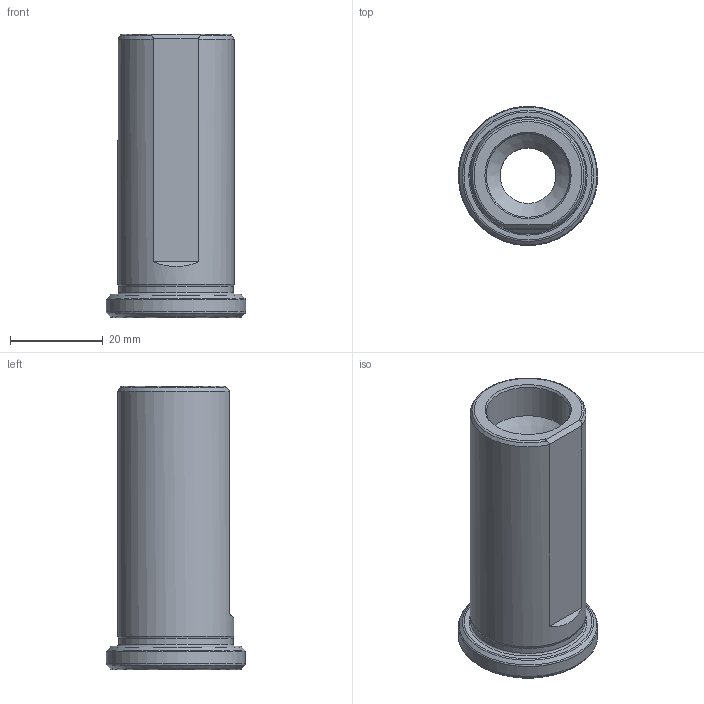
import cadquery as cq
import math

total_height = 61.0
flange_radius = 30.0 / 2
flange_height = 5.0
flange_chamfer = 1.0
body_radius = 25.0 / 2
edge_blend = 0.5

lead_in_height = 1.0
lead_in_angle = math.radians(30)

relief_radius = 24.7 / 2
relief_height = 2.2
relief_fillet = 0.4
relief_taper_height = 0.5

bore_radius = 18.0 / 2
bore_depth = 8.0
bore_chamfer_width = 0.3
bore_chamfer_height = 0.5
hole_radius = 12.0 / 2
cone_height = bore_radius - hole_radius

flat_distance = 11.5
flat_bottom = 12.0
flat_depth = body_radius - flat_distance
flat_top_chamfer = 0.9


def make_flange():
    """Disc with chamfered rims and every chamfer edge blended."""
    disc = cq.Workplane("XY").circle(flange_radius).extrude(flange_height)
    return disc.edges("%CIRCLE").chamfer(flange_chamfer).edges("%CIRCLE").fillet(edge_blend)


def make_body():
    """Cylinder with a filleted relief groove at its foot and a lead-in cone at its top."""
    relief_top = flange_height + relief_height
    lead_in_radius = body_radius - lead_in_height * math.tan(lead_in_angle)
    profile = (
        cq.Workplane("XZ")
        .moveTo(0, flange_height)
        .lineTo(relief_radius + relief_fillet, flange_height)
        .radiusArc((relief_radius, flange_height + relief_fillet), relief_fillet)
        .lineTo(relief_radius, relief_top - relief_taper_height)
        .lineTo(body_radius, relief_top)
        .lineTo(body_radius, total_height - lead_in_height)
        .lineTo(lead_in_radius, total_height)
        .lineTo(0, total_height)
        .close()
    )
    body = profile.revolve(360, (0, 0, 0), (0, 1, 0))
    return body.faces(">Z").edges().fillet(edge_blend)


def make_bore():
    """Through hole widening by a cone into a chamfered counterbore open at the top."""
    bore_bottom = total_height - bore_depth
    outline = [
        (0, 0),
        (hole_radius, 0),
        (hole_radius, bore_bottom - cone_height),
        (bore_radius, bore_bottom),
        (bore_radius, total_height - bore_chamfer_height),
        (bore_radius + bore_chamfer_width, total_height),
        (0, total_height),
    ]
    return cq.Workplane("XZ").polyline(outline).close().revolve(360, (0, 0, 0), (0, 1, 0))


def make_flat_cutter():
    """Side profile in the YZ plane: run-out slope, flat face and top chamfer."""
    outline = [
        (-body_radius, flat_bottom - flat_depth),
        (-flat_distance, flat_bottom),
        (-flat_distance, total_height - flat_top_chamfer),
        (-flat_distance + flat_top_chamfer, total_height),
        (-body_radius, total_height),
    ]
    return cq.Workplane("YZ").polyline(outline).close().extrude(body_radius, both=True)


result = make_flange().union(make_body()).cut(make_bore()).cut(make_flat_cutter())